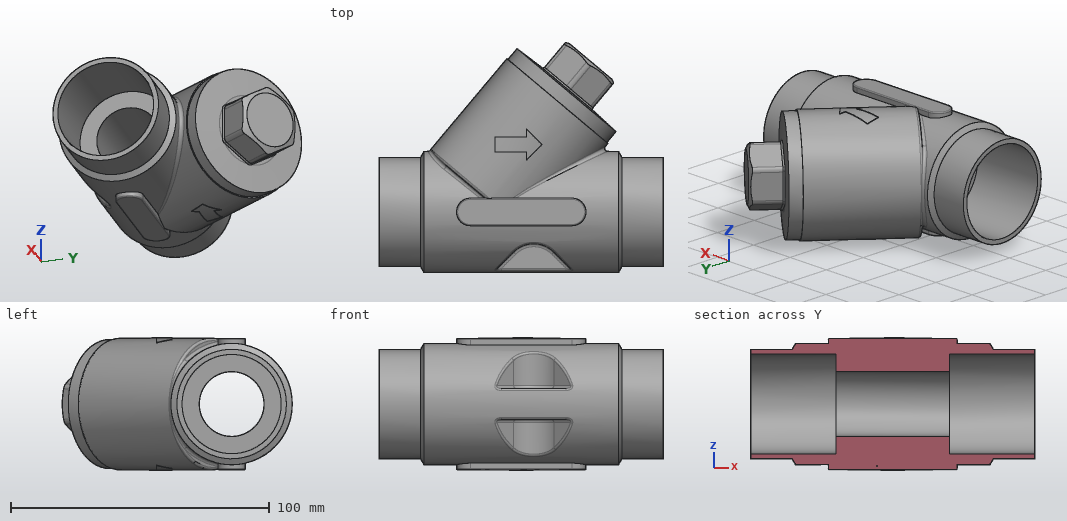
import cadquery as cq
import math

overall_length = 110.0
spigot_diameter = 42.4
body_diameter = 47.0
body_length = 77.9
shoulder_length = 1.3

socket_diameter = 38.4
socket_depth = 33.0
passage_diameter = 25.0

branch_angle = 50.0
branch_origin_x = -22.0
branch_diameter = 51.0
branch_start = 9.2
branch_end = 56.0
branch_edge_radius = 1.0
branch_root_fillet = 1.1
cap_diameter = 50.0
cap_end = 61.5
dome_height = 0.5

hex_across_flats = 24.4
hex_end = 76.0
hex_corner_radius = 2.2
hex_chamfer_radius = 10.9
hex_chamfer_angle = 27.0
hex_flare_height = 1.3
hex_flare_angle = 30.0

pad_length = 50.0
pad_width = 10.7
pad_height = 25.4
pad_edge_radius = 0.4

arrow_tail_x = -10.2
arrow_shoulder_x = 2.0
arrow_tip_x = 8.0
arrow_center_y = 26.1
arrow_shaft_width = 5.9
arrow_head_width = 12.1
arrow_relief = 0.16
arrow_root_depth = 1.1

pocket_center_x = 4.8
pocket_apex_y = -12.3
pocket_tip_radius = 11.0
pocket_floor_z = 6.0
pocket_floor_radius = 1.1
pocket_mouth_radius = 1.1

body_radius = body_diameter / 2
surface_tolerance = 0.02
hex_corner_distance = hex_across_flats / math.sqrt(3)


def make_pipe():
    half = overall_length / 2
    shoulder = body_length / 2
    flat = shoulder - shoulder_length
    spigot_radius = spigot_diameter / 2
    profile = [
        (-half, 0),
        (-half, spigot_radius),
        (-shoulder, spigot_radius),
        (-flat, body_radius),
        (flat, body_radius),
        (shoulder, spigot_radius),
        (half, spigot_radius),
        (half, 0),
    ]
    pipe = cq.Workplane("XY").polyline(profile).close().revolve(360, (0, 0, 0), (1, 0, 0))
    return pipe.rotate((0, 0, 0), (1, 0, 0), 180)


def branch_plane(distance):
    """Plane across the branch axis; its local x stays in the XY plane."""
    angle = math.radians(branch_angle)
    axis = cq.Vector(math.cos(angle), math.sin(angle), 0)
    across = cq.Vector(-math.sin(angle), math.cos(angle), 0)
    origin = cq.Vector(branch_origin_x, 0, 0) + axis * distance
    return cq.Workplane(cq.Plane(origin, across, axis))


def make_branch():
    start = branch_plane(branch_start)
    branch = start.circle(branch_diameter / 2).extrude(branch_end - branch_start)
    start_face = cq.selectors.DirectionMinMaxSelector(start.plane.zDir, directionMax=False)
    return branch.faces(start_face).edges().fillet(branch_edge_radius)


def make_cap():
    cap = branch_plane(branch_end).circle(cap_diameter / 2).extrude(cap_end - branch_end)
    dome = (
        branch_plane(cap_end)
        .circle(cap_diameter / 2)
        .workplane(offset=dome_height)
        .circle(hex_corner_distance)
        .loft()
    )
    return cap.union(dome)


def hexagon_outline(across_flats):
    corner_distance = across_flats / math.sqrt(3)
    return cq.Sketch().regularPolygon(corner_distance, 6).vertices().fillet(hex_corner_radius)


def make_hexagon():
    height = hex_end - cap_end
    head = branch_plane(cap_end).placeSketch(hexagon_outline(hex_across_flats)).extrude(height)
    envelope_radius = hex_chamfer_radius + height / math.tan(math.radians(hex_chamfer_angle))
    envelope = (
        branch_plane(hex_end)
        .circle(hex_chamfer_radius)
        .workplane(offset=-height)
        .circle(envelope_radius)
        .loft()
    )
    flare_width = hex_flare_height * math.tan(math.radians(hex_flare_angle))
    flare_outline = hexagon_outline(hex_across_flats + 2 * flare_width)
    flare = branch_plane(cap_end).placeSketch(flare_outline).extrude(hex_flare_height, taper=hex_flare_angle)
    return head.intersect(envelope).union(flare)


def make_pad():
    pad = cq.Workplane("XY").slot2D(pad_length, pad_width).extrude(pad_height)
    pad = pad.faces(">Z").edges().fillet(pad_edge_radius)
    inner_height = socket_diameter / 2
    return pad.cut(cq.Workplane("XY").rect(pad_length, pad_width).extrude(inner_height))


def make_arrow():
    shaft = arrow_shaft_width / 2
    head = arrow_head_width / 2
    outline = [
        (arrow_tail_x, -shaft),
        (arrow_shoulder_x, -shaft),
        (arrow_shoulder_x, -head),
        (arrow_tip_x, 0),
        (arrow_shoulder_x, head),
        (arrow_shoulder_x, shaft),
        (arrow_tail_x, shaft),
    ]
    prism = cq.Workplane("XY", origin=(0, arrow_center_y, 0)).polyline(outline).close().extrude(branch_diameter)
    skin = (
        branch_plane(branch_start)
        .circle(branch_diameter / 2 + arrow_relief)
        .circle(branch_diameter / 2 - arrow_root_depth)
        .extrude(branch_end - branch_start)
    )
    return prism.intersect(skin)


def make_pocket():
    half_chord = pocket_tip_radius * math.sin(math.radians(45))
    tangent_y = pocket_apex_y - pocket_tip_radius + half_chord
    mouth_y = -body_radius - pocket_tip_radius
    half_mouth = half_chord + tangent_y - mouth_y
    pocket = (
        cq.Workplane("XY", origin=(pocket_center_x, 0, pocket_floor_z))
        .moveTo(-half_mouth, mouth_y)
        .lineTo(-half_chord, tangent_y)
        .threePointArc((0, pocket_apex_y), (half_chord, tangent_y))
        .lineTo(half_mouth, mouth_y)
        .close()
        .extrude(body_radius)
    )
    return pocket.faces("<Z").edges("not <Y").fillet(pocket_floor_radius)


def both_sides(feature):
    return feature.union(feature.mirror("XY"))


def on_body_surface(edge):
    """True where the edge runs along the cylindrical outside of the pipe body."""
    points = [edge.positionAt(share) for share in (0.25, 0.5, 0.75)]
    return all(abs(math.hypot(point.y, point.z) - body_radius) < surface_tolerance for point in points)


def join_branch(pipe):
    joined = pipe.union(make_branch())
    root_edges = [
        edge
        for edge in joined.edges().vals()
        if on_body_surface(edge)
        and edge.geomType() in ("ELLIPSE", "BSPLINE")
    ]
    return joined.newObject(root_edges).fillet(branch_root_fillet)


def cut_pockets(body):
    pocketed = body.cut(both_sides(make_pocket()))
    rim_edges = [
        edge
        for edge in pocketed.edges().vals()
        if on_body_surface(edge)
        and edge.Center().y < pocket_apex_y
        and abs(edge.Center().z) > pocket_floor_z / 2
    ]
    return pocketed.newObject(rim_edges).fillet(pocket_mouth_radius)


def make_bores():
    passage = cq.Workplane("YZ").circle(passage_diameter / 2).extrude(overall_length / 2, both=True)
    socket_end = overall_length / 2 - socket_depth
    socket = cq.Workplane("YZ", origin=(socket_end, 0, 0)).circle(socket_diameter / 2).extrude(socket_depth)
    return passage.union(socket).union(socket.mirror("YZ"))


body = cut_pockets(join_branch(make_pipe()))
body = body.union(make_cap()).union(make_hexagon())
body = body.union(both_sides(make_pad())).union(both_sides(make_arrow()))
result = body.cut(make_bores())